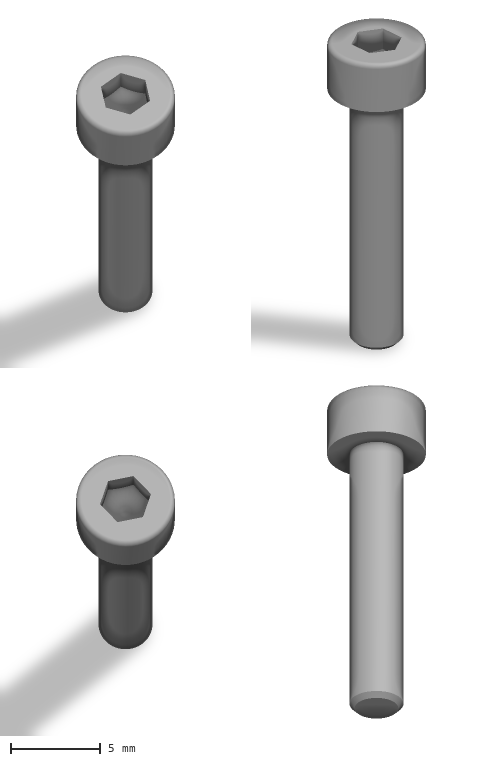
import cadquery as cq
import math

total_length = 19.0
head_diameter = 5.5
head_height = 3.0
head_edge_radius = 0.27
shank_diameter = head_height
tip_chamfer = 0.28

socket_across_flats = 2.5
socket_depth = 1.3
socket_cone_angle = 120.0

shank_length = total_length - head_height
socket_across_corners = socket_across_flats / math.cos(math.radians(30))


def make_head():
    head = cq.Workplane("XY", origin=(0, 0, shank_length)).circle(head_diameter / 2).extrude(head_height)
    return head.faces(">Z").edges().fillet(head_edge_radius)


def make_shank():
    shank = cq.Workplane("XY").circle(shank_diameter / 2).extrude(shank_length)
    return shank.faces("<Z").edges().chamfer(tip_chamfer)


def make_socket():
    """Hexagonal prism, corners on the X axis, limited below by a drill-point cone."""
    cone_radius = socket_across_corners / 2
    cone_height = cone_radius / math.tan(math.radians(socket_cone_angle / 2))
    prism = (
        cq.Workplane("XY", origin=(0, 0, total_length))
        .polygon(6, socket_across_corners)
        .extrude(-socket_depth)
    )
    cone = cq.Workplane(
        cq.Solid.makeCone(
            cone_radius, 0, cone_height,
            pnt=cq.Vector(0, 0, total_length - socket_depth),
            dir=cq.Vector(0, 0, -1),
        )
    )
    hexagon = (
        cq.Workplane("XY", origin=(0, 0, total_length - socket_depth))
        .polygon(6, socket_across_corners)
        .extrude(-cone_height)
    )
    return prism.union(cone.intersect(hexagon))


result = make_head().union(make_shank()).cut(make_socket())